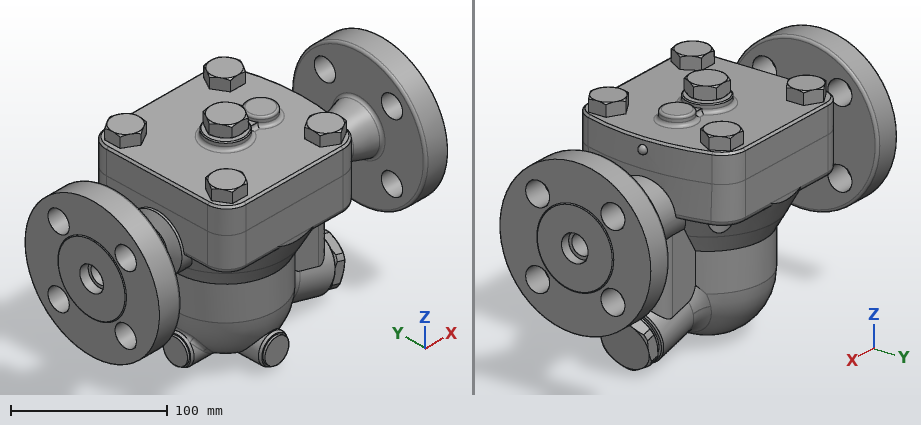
import cadquery as cq
import math


pipe_length = 264.0
pipe_middle_x = 9.8
raised_face_height = 0.5
raised_face_radius = 29.8
raised_face_root_radius = 30.5
flange_radius = 120.0 / 2
flange_back = 111.5
hub_large_end = 109.0
hub_small_end = 90.8
boss_end = 79.0
boss_chamfer_start = 74.2
flange_edge_round = 2.0
hub_large_radius = 21.5
hub_root_round = 2.5
neck_radius = 32.0 / 2
boss_radius = 48.0 / 2
flange_hole_diameter = 19.0
flange_bolt_circle = 84.7
flange_hole_offset = flange_bolt_circle / 2 * math.sqrt(0.5)
port_diameter = 21.0
port_depth = 7.7
bore_diameter = 16.0

plate_half_width = 125.0 / 2
bolt_offset = 45.1
left_corner_radius = plate_half_width - bolt_offset
plate_left_x = -bolt_offset - left_corner_radius
plate_right_x = 68.6
right_corner_radius = 18.7
right_corner_x = 43.3
plate_bottom_z = -0.5
joint_z = 29.3
cover_top_z = 51.2
cover_edge_chamfer = 1.5
plate_edge_round = 3.7
plate_side_taper = 1.0
nub_radius = 3.5
nub_z = 43.0

bowl_radius = 44.4
bowl_center_z = -62.8
cone_bottom_z = -33.0
cone_middle_radius = 52.0
cone_middle_z = -19.5
cone_top_radius = 64.5
cone_top_z = plate_bottom_z + plate_edge_round
bolt_relief_diameter = 20.0
bolt_relief_depth = 21.0

branch_tilt = 15.0
branch_radius = 44.0 / 2
branch_length = 80.5
branch_blend_radius = 14.8
branch_edge_chamfer = 1.0
branch_seat_radius = 19.0
branch_seat_length = 1.5
branch_plug_flats = 38.0
branch_plug_height = 9.2
branch_plug_diameter = 41.5
rib_half_width = 20.0
rib_corner_radius = 12.7
rib_end_x = 77.0
rib_foot_rise = 9.0

drain_radius = 26.0 / 2
drain_drop = 29.5
drain_shoulder = 42.0
drain_seat = 44.0
drain_end = 46.0
drain_seat_radius = 24.0 / 2
drain_plug_radius = 22.0 / 2
drain_blend_radius = 3.0

head_chamfer_angle = 30.0
bolt_flats = 24.0
bolt_head_height = 9.8
plug_pad_radius = 33.0 / 2
plug_pad_height = 6.3
plug_flats = 26.0
plug_top_z = 68.6
plug_height = 10.3
plug_seat_radius = 11.0
side_pad_x = 32.2
side_pad_radius = 24.0 / 2
side_pad_height = 7.0
side_pad_edge_round = 1.8
pad_edge_chamfer = 0.8
pad_root_round = 3.0
web_half_width = 6.9
web_height = 3.2


def hexagon_head(flats, height, bottom_chamfer=False, turned_diameter=None):
    """Hexagonal head on Z = 0 with corners along X; its top is chamfered to a circle as wide as the flats."""
    corner_diameter = flats / math.cos(math.radians(30))
    turned_radius = (turned_diameter or corner_diameter) / 2
    chamfer_width = turned_radius - flats / 2
    chamfer_height = chamfer_width * math.tan(math.radians(head_chamfer_angle))
    turned = cq.Workplane("XZ")
    if bottom_chamfer:
        turned = turned.lineTo(flats / 2, 0).lineTo(turned_radius, chamfer_height)
    else:
        turned = turned.lineTo(turned_radius, 0)
    turned = (
        turned.lineTo(turned_radius, height - chamfer_height)
        .lineTo(flats / 2, height)
        .lineTo(0, height)
        .close()
        .revolve(360, (0, 0, 0), (0, 1, 0))
    )
    return cq.Workplane("XY").polygon(6, corner_diameter).extrude(height).intersect(turned)


def pipe_half():
    """Half of the flanged pipe, turned about X with the middle of the pipe at X = 0."""
    face_x = pipe_length / 2
    flange_front = face_x - raised_face_height
    diagonal = math.sqrt(0.5)
    half = (
        cq.Workplane("XY")
        .lineTo(0, boss_radius)
        .lineTo(boss_chamfer_start, boss_radius)
        .lineTo(boss_end, neck_radius)
        .lineTo(hub_small_end, neck_radius)
        .lineTo(hub_large_end, hub_large_radius)
        .threePointArc(
            (
                hub_large_end + hub_root_round * diagonal,
                hub_large_radius + hub_root_round * (1 - diagonal),
            ),
            (flange_back, hub_large_radius + hub_root_round),
        )
        .lineTo(flange_back, flange_radius - flange_edge_round)
        .threePointArc(
            (
                flange_back + flange_edge_round * (1 - diagonal),
                flange_radius - flange_edge_round * (1 - diagonal),
            ),
            (flange_back + flange_edge_round, flange_radius),
        )
        .lineTo(flange_front, flange_radius)
        .lineTo(flange_front, raised_face_root_radius)
        .lineTo(face_x, raised_face_radius)
        .lineTo(face_x, 0)
        .close()
        .revolve(360, (0, 0, 0), (1, 0, 0))
    )
    holes = (
        cq.Workplane("YZ", origin=(flange_back, 0, 0))
        .rect(2 * flange_hole_offset, 2 * flange_hole_offset, forConstruction=True)
        .vertices()
        .circle(flange_hole_diameter / 2)
        .extrude(face_x - flange_back)
    )
    return half.cut(holes)


def port_bore():
    """Stepped bore from the end face at +X to the end of the boss."""
    face_plane = cq.Workplane("YZ", origin=(pipe_length / 2, 0, 0))
    port = face_plane.circle(port_diameter / 2).extrude(-port_depth)
    bore = face_plane.circle(bore_diameter / 2).extrude(boss_end - pipe_length / 2)
    return port.union(bore)


def both_ends(half):
    """The given half and its mirror image, moved to the middle of the pipe."""
    return half.union(half.mirror("YZ")).translate((pipe_middle_x, 0, 0))


def plate_outline(plane, right_x):
    """Rounded square whose right side is an arc out to right_x, tangent to both right corner rounds."""
    corner_x = right_corner_x
    corner_y = plate_half_width - right_corner_radius
    corner_to_bulge = right_x - right_corner_radius - corner_x
    bulge_to_corner = (corner_y**2 - corner_to_bulge**2) / (2 * corner_to_bulge)
    bulge_angle = math.atan2(corner_y, bulge_to_corner)
    tangent_x = corner_x + right_corner_radius * math.cos(bulge_angle)
    tangent_y = corner_y + right_corner_radius * math.sin(bulge_angle)
    corner_middle = bulge_angle / 2 + math.pi / 4
    corner_middle_x = corner_x + right_corner_radius * math.cos(corner_middle)
    corner_middle_y = corner_y + right_corner_radius * math.sin(corner_middle)
    left_reach = bolt_offset + left_corner_radius * math.sqrt(0.5)
    return (
        plane.moveTo(-bolt_offset, -plate_half_width)
        .lineTo(corner_x, -plate_half_width)
        .threePointArc((corner_middle_x, -corner_middle_y), (tangent_x, -tangent_y))
        .threePointArc((right_x, 0), (tangent_x, tangent_y))
        .threePointArc((corner_middle_x, corner_middle_y), (corner_x, plate_half_width))
        .lineTo(-bolt_offset, plate_half_width)
        .threePointArc((-left_reach, left_reach), (plate_left_x, bolt_offset))
        .lineTo(plate_left_x, -bolt_offset)
        .threePointArc((-left_reach, -left_reach), (-bolt_offset, -plate_half_width))
        .close()
    )


def plate_prism(bottom_z, top_z):
    """Upright prism with the full plate outline."""
    base = cq.Workplane("XY", origin=(0, 0, bottom_z))
    return plate_outline(base, plate_right_x).extrude(top_z - bottom_z)


def cover():
    """Cover with a chamfered top edge and a round nub on its bulged side."""
    nub = cq.Workplane("XY").sphere(nub_radius).translate((plate_right_x, 0, nub_z))
    plate = plate_prism(joint_z, cover_top_z).faces(">Z").chamfer(cover_edge_chamfer)
    return plate.union(nub)


def body_plate():
    """Top plate of the body; its bulged side leans inward towards the rounded bottom edge."""
    base = cq.Workplane("XY", origin=(0, 0, plate_bottom_z))
    foot = plate_outline(base, plate_right_x - plate_side_taper)
    top_plane = foot.workplane(offset=joint_z - plate_bottom_z, origin=(0, 0, 0))
    plate = plate_outline(top_plane, plate_right_x).loft(ruled=True)
    return plate.faces("<Z").edges().fillet(plate_edge_round)


def bowl():
    """Hemispherical bowl that widens as two cones up to the top plate, with reliefs below the bolts."""
    diagonal = bowl_radius * math.sqrt(0.5)
    turned = (
        cq.Workplane("XZ")
        .moveTo(0, bowl_center_z - bowl_radius)
        .threePointArc((diagonal, bowl_center_z - diagonal), (bowl_radius, bowl_center_z))
        .lineTo(bowl_radius, cone_bottom_z)
        .lineTo(cone_middle_radius, cone_middle_z)
        .lineTo(cone_top_radius, cone_top_z)
        .lineTo(0, cone_top_z)
        .close()
        .revolve(360, (0, 0, 0), (0, 1, 0))
    )
    reliefs = (
        cq.Workplane("XY", origin=(0, 0, plate_bottom_z))
        .rect(2 * bolt_offset, 2 * bolt_offset, forConstruction=True)
        .vertices()
        .circle(bolt_relief_diameter / 2)
        .extrude(-bolt_relief_depth)
    )
    return turned.intersect(plate_prism(bowl_center_z - bowl_radius, joint_z)).cut(reliefs)


def drain_boss():
    """Capped boss along +X at the height of the bowl center."""
    return (
        cq.Workplane("XY")
        .lineTo(0, drain_radius)
        .lineTo(drain_shoulder, drain_radius)
        .lineTo(drain_seat, drain_seat_radius)
        .lineTo(drain_seat, drain_plug_radius)
        .lineTo(drain_end, drain_plug_radius)
        .lineTo(drain_end, 0)
        .close()
        .revolve(360, (0, 0, 0), (1, 0, 0))
        .translate((0, 0, bowl_center_z - drain_drop))
    )


def bowl_with_drains():
    """Bowl with a blended drain boss towards -X and a plain one towards -Y."""
    left_boss = drain_boss().rotate((0, 0, 0), (0, 0, 1), 180)
    front_boss = drain_boss().rotate((0, 0, 0), (0, 0, 1), -90)
    drained = bowl().union(left_boss)
    seam = cq.selectors.BoxSelector(
        (-bowl_radius, -2 * drain_radius, bowl_center_z - bowl_radius),
        (-drain_radius / 2, 2 * drain_radius, bowl_center_z - drain_radius / 2),
    )
    drained = drained.edges(seam).edges("not %CIRCLE").fillet(drain_blend_radius)
    return drained.union(front_boss)


def strainer_branch():
    """Tilted branch that flares into the bowl, closed by a hexagonal plug."""
    blend_reach = bowl_radius + branch_blend_radius
    blend_center_r = branch_radius + branch_blend_radius
    blend_center_x = math.sqrt(blend_reach**2 - blend_center_r**2)
    flare_x = blend_center_x * bowl_radius / blend_reach
    flare_r = blend_center_r * bowl_radius / blend_reach
    middle_angle = (math.atan2(blend_center_r, blend_center_x) + math.pi / 2) / 2
    seat_end = branch_length + branch_seat_length
    branch = (
        cq.Workplane("XY")
        .lineTo(flare_x, flare_r)
        .threePointArc(
            (
                blend_center_x - branch_blend_radius * math.cos(middle_angle),
                blend_center_r - branch_blend_radius * math.sin(middle_angle),
            ),
            (blend_center_x, branch_radius),
        )
        .lineTo(branch_length - branch_edge_chamfer, branch_radius)
        .lineTo(branch_length, branch_radius - branch_edge_chamfer)
        .lineTo(branch_length, branch_seat_radius)
        .lineTo(seat_end, branch_seat_radius)
        .lineTo(seat_end, 0)
        .close()
        .revolve(360, (0, 0, 0), (1, 0, 0))
    )
    plug = (
        hexagon_head(branch_plug_flats, branch_plug_height, bottom_chamfer=True,
                     turned_diameter=branch_plug_diameter)
        .rotate((0, 0, 0), (0, 1, 0), 90)
        .translate((seat_end, 0, 0))
    )
    tilted = branch.union(plug).rotate((0, 0, 0), (0, 1, 0), branch_tilt)
    return tilted.translate((0, 0, bowl_center_z))


def rib():
    """Upright rib with rounded corners between the branch and the pipe boss."""
    foot_z = bowl_center_z + rib_foot_rise
    foot_fall = rib_end_x * math.tan(math.radians(branch_tilt))
    return (
        cq.Workplane("XZ")
        .moveTo(0, foot_z)
        .lineTo(rib_end_x, foot_z - foot_fall)
        .lineTo(rib_end_x, 0)
        .lineTo(0, 0)
        .close()
        .extrude(rib_half_width, both=True)
        .edges("|Z and >X")
        .fillet(rib_corner_radius)
    )


def root_flared(half_width, height):
    """Right half of a pad section on the XZ plane, from the axis to its top, with a flared root."""
    diagonal = math.sqrt(0.5)
    return (
        cq.Workplane("XZ")
        .lineTo(half_width + pad_root_round, 0)
        .threePointArc(
            (
                half_width + pad_root_round * (1 - diagonal),
                pad_root_round * (1 - diagonal),
            ),
            (half_width, pad_root_round),
        )
        .lineTo(half_width, height)
        .lineTo(0, height)
        .close()
    )


def cover_bolts():
    """Four bolt heads; each is turned 90 degrees from its neighbours."""
    heads = cq.Workplane("XY")
    for side_x in (-1, 1):
        for side_y in (-1, 1):
            turn = 0 if side_x == side_y else 90
            head = hexagon_head(bolt_flats, bolt_head_height).rotate((0, 0, 0), (0, 0, 1), turn)
            heads = heads.add(head.translate((side_x * bolt_offset, side_y * bolt_offset, cover_top_z)))
    return heads.combine()


def plug_and_pads():
    """Round pads for the cover plug and for its blank neighbour, the web between them, and the plug."""
    plug_pad = root_flared(plug_pad_radius, plug_pad_height).revolve(360, (0, 0, 0), (0, 1, 0))
    plug_pad = plug_pad.faces(">Z").chamfer(pad_edge_chamfer)
    side_pad = root_flared(side_pad_radius, side_pad_height).revolve(360, (0, 0, 0), (0, 1, 0))
    side_pad = side_pad.faces(">Z").fillet(side_pad_edge_round).translate((side_pad_x, 0, 0))
    half_web = root_flared(web_half_width, web_height).extrude(-side_pad_x)
    half_web = half_web.rotate((0, 0, 0), (0, 0, 1), -90)
    web = half_web.union(half_web.mirror("XZ"))
    plug_bottom_z = plug_top_z - plug_height - cover_top_z
    plug_seat = cq.Workplane("XY").circle(plug_seat_radius).extrude(plug_bottom_z)
    plug = hexagon_head(plug_flats, plug_height, bottom_chamfer=True)
    plug = plug.translate((0, 0, plug_bottom_z))
    group = plug_pad.union(side_pad).union(web).union(plug_seat).union(plug)
    return group.translate((0, 0, cover_top_z))


result = both_ends(pipe_half())
for piece in (
    cover(),
    body_plate(),
    bowl_with_drains(),
    strainer_branch(),
    rib(),
    cover_bolts(),
    plug_and_pads(),
):
    result = result.union(piece, clean=False)
result = result.cut(both_ends(port_bore()), clean=False)